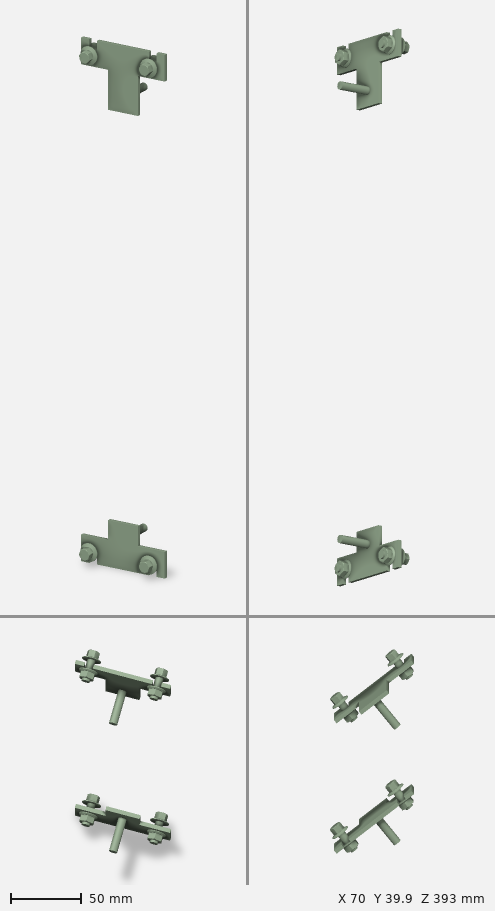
import cadquery as cq
import math

total_height = 393.0
total_depth = 39.9

plate_width = 70.0
plate_thickness = 3.0
bar_height = 20.0
stem_width = 25.0
upper_plate_height = 50.0
lower_plate_height = 35.0
stud_diameter = 6.0
stud_length = 25.0
stud_from_stem_end = 11.5

slot_spacing = 50.0
slot_width = 6.5
slot_depth = bar_height / 2

bolt_diameter = 6.0
bolt_shank_length = 16.0
bolt_head_height = 6.6
bolt_across_flats = 8.0
bolt_head_turn = 12.0

nut_height = 6.0
nut_across_flats = 10.0
nut_turn = 30.0

flange_diameter = 13.9
flange_rim = 0.5
flange_cone_height = 1.0
bevel_circle_ratio = 0.98
bevel_angle = math.radians(30.0)

head_tip_y = stud_length - total_depth
head_seat_y = head_tip_y + bolt_head_height


def flanged_hexagon(height, across_flats, turn):
    """Flanged hexagon with its seat in Z = 0 and its outer end, with bevelled corners, at Z = height."""
    across_corners = across_flats / math.cos(math.radians(30.0))
    bevel_circle_radius = bevel_circle_ratio * across_flats / 2
    bevel_drop = (across_corners / 2 - bevel_circle_radius) * math.tan(bevel_angle)
    bevel_cone = (
        cq.Workplane("XZ")
        .polyline([
            (0, 0),
            (across_corners / 2, 0),
            (across_corners / 2, height - bevel_drop),
            (bevel_circle_radius, height),
            (0, height),
        ])
        .close()
        .revolve(360, (0, 0, 0), (0, 1, 0))
    )
    hexagon = (
        cq.Workplane("XY")
        .polygon(6, across_corners)
        .extrude(height)
        .intersect(bevel_cone)
        .rotate((0, 0, 0), (0, 0, 1), turn)
    )
    flange = (
        cq.Workplane("XZ")
        .polyline([
            (0, 0),
            (flange_diameter / 2, 0),
            (flange_diameter / 2, flange_rim),
            (across_corners / 2, flange_rim + flange_cone_height),
            (0, flange_rim + flange_cone_height),
        ])
        .close()
        .revolve(360, (0, 0, 0), (0, 1, 0))
    )
    return hexagon.union(flange)


def t_plate(height):
    """T-shaped plate with its slotted edge in Z = 0 and its stem hanging down to Z = -height."""
    plate = (
        cq.Workplane("XZ")
        .moveTo(-plate_width / 2, 0)
        .lineTo(plate_width / 2, 0)
        .lineTo(plate_width / 2, -bar_height)
        .lineTo(stem_width / 2, -bar_height)
        .lineTo(stem_width / 2, -height)
        .lineTo(-stem_width / 2, -height)
        .lineTo(-stem_width / 2, -bar_height)
        .lineTo(-plate_width / 2, -bar_height)
        .close()
        .extrude(plate_thickness)
    )
    slots = (
        cq.Workplane("XZ")
        .pushPoints([(-slot_spacing / 2, 0), (slot_spacing / 2, 0)])
        .slot2D(2 * slot_depth + slot_width, slot_width, 90)
        .extrude(plate_thickness)
    )
    stud = (
        cq.Workplane("XZ")
        .center(0, stud_from_stem_end - height)
        .circle(stud_diameter / 2)
        .extrude(-stud_length)
    )
    return plate.cut(slots).union(stud)


def flange_bolt(head_turn):
    """Bolt along Y with its axis through X = Z = 0 and its head toward -Y."""
    head = flanged_hexagon(bolt_head_height, bolt_across_flats, head_turn)
    shank = cq.Workplane("XY").circle(bolt_diameter / 2).extrude(-bolt_shank_length)
    return head.union(shank).rotate((0, 0, 0), (1, 0, 0), 90).translate((0, head_seat_y, 0))


def flange_nut():
    """Nut along Y with its flange in the plane Y = 0 and its free end toward +Y."""
    bore = cq.Workplane("XY").circle(bolt_diameter / 2).extrude(nut_height)
    nut = flanged_hexagon(nut_height, nut_across_flats, nut_turn).cut(bore)
    return nut.rotate((0, 0, 0), (1, 0, 0), -90)


top_edge_z = total_height / 2
bottom_edge_z = -total_height / 2

upper_plate = t_plate(upper_plate_height).translate((0, 0, top_edge_z))
lower_plate = t_plate(lower_plate_height).mirror("XY").translate((0, 0, bottom_edge_z))

bolt_rows = [
    (top_edge_z - slot_depth, -bolt_head_turn),
    (bottom_edge_z + slot_depth, bolt_head_turn),
]
bolts = []
nuts = []
for bolt_z, head_turn in bolt_rows:
    for bolt_x in (-slot_spacing / 2, slot_spacing / 2):
        bolts.append(flange_bolt(head_turn).translate((bolt_x, 0, bolt_z)))
        nuts.append(flange_nut().translate((bolt_x, 0, bolt_z)))

fasteners = [body.val() for body in bolts + nuts]
result = cq.Compound.makeCompound([upper_plate.val(), lower_plate.val(), *fasteners])